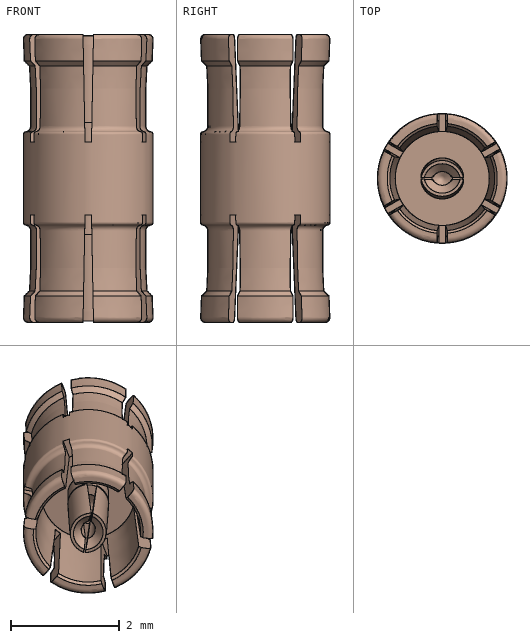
import cadquery as cq
import math

length = 5.33
top_z = length / 2

body_radius = 1.2
crown_radius = body_radius
crown_foot_radius = 1.185
crown_rounding = 0.095
crown_foot_depth = 0.49
neck_top_radius = 1.085
neck_top_depth = 0.585
neck_radius = 1.065
neck_bend_depth = 1.01
shoulder_start_depth = 1.7
shoulder_end_depth = 1.855
shoulder_hollow_share = 0.65

mouth_radius = 1.02
mouth_chamfer = 0.05
floor_radius = 0.87
floor_depth = 2.19

slot_count = 6
first_slot_angle = 30.0
slot_depth = 1.99
slot_foot_width = 0.12
slot_mouth_width = 0.1945

stem_radius = 0.38
pin_radius = 0.405
pin_top_depth = 0.035
pin_tip_length = 0.17
pin_tip_taper = 0.005
pin_foot_offset = pin_radius - stem_radius
pin_top_offset = 0.07
slit_foot_depth = 1.63
slit_foot_width = 0.18
slit_top_width = 0.025
pin_mouth_radius = 0.34
pin_bore_radius = 0.19
drill_tip_angle = 118.0

floor_z = top_z - floor_depth
pin_top_z = top_z - pin_top_depth
slit_foot_z = top_z - slit_foot_depth


def shell_ring():
    """Shell without slots: half an outline, mirrored to the lower end and revolved."""
    shoulder_start = (neck_radius, top_z - shoulder_start_depth)
    shoulder_end = (body_radius, top_z - shoulder_end_depth)
    shoulder_middle = tuple(
        start + shoulder_hollow_share * (end - start)
        for start, end in zip(shoulder_start, shoulder_end)
    )
    profile = (
        cq.Workplane("XZ")
        .moveTo(floor_radius, 0)
        .lineTo(floor_radius, top_z - slot_depth)
        .lineTo(mouth_radius - mouth_chamfer, top_z - mouth_chamfer)
        .lineTo(mouth_radius, top_z)
        .lineTo(crown_radius - crown_rounding, top_z)
        .radiusArc((crown_radius, top_z - crown_rounding), crown_rounding)
        .lineTo(crown_foot_radius, top_z - crown_foot_depth)
        .lineTo(neck_top_radius, top_z - neck_top_depth)
        .lineTo(neck_radius, top_z - neck_bend_depth)
        .lineTo(*shoulder_start)
        .tangentArcPoint(shoulder_middle, relative=False)
        .tangentArcPoint(shoulder_end, relative=False)
        .lineTo(body_radius, 0)
        .mirrorX()
    )
    return profile.revolve(360, (0, 0, 0), (0, 1, 0)).clean()


def finger_slot(angle):
    """Slot running outward from the axis, wider at the mouth than at the foot."""
    return (
        cq.Workplane("YZ")
        .moveTo(-slot_foot_width / 2, top_z - slot_depth)
        .lineTo(slot_foot_width / 2, top_z - slot_depth)
        .lineTo(slot_mouth_width / 2, top_z)
        .lineTo(-slot_mouth_width / 2, top_z)
        .close()
        .extrude(2 * body_radius)
        .rotate((0, 0, 0), (0, 0, 1), angle)
    )


def slotted_shell():
    shell = shell_ring()
    for index in range(slot_count):
        slot = finger_slot(first_slot_angle + index * 360 / slot_count)
        shell = shell.cut(slot).cut(slot.mirror("XY"))
    return shell


def pin_tube():
    """Tube with a slightly tapered tip and a conical mouth, open at both ends."""
    tip_foot_z = pin_top_z - pin_tip_length
    return (
        cq.Workplane("XZ")
        .moveTo(pin_bore_radius, floor_z)
        .lineTo(pin_radius, floor_z)
        .lineTo(pin_radius, tip_foot_z)
        .lineTo(pin_radius - pin_tip_taper, pin_top_z)
        .lineTo(pin_mouth_radius, pin_top_z)
        .lineTo(pin_bore_radius, tip_foot_z)
        .close()
        .revolve(360, (0, 0, 0), (0, 1, 0))
    )


def pin_half():
    """Half tube on the +Y side, leaning towards a slit that narrows upward."""
    lean = math.degrees(math.atan((pin_top_offset - pin_foot_offset) / (pin_top_z - slit_foot_z)))
    leaning_tube = (
        pin_tube()
        .rotate((0, 0, slit_foot_z), (1, 0, slit_foot_z), lean)
        .translate((0, -pin_foot_offset, 0))
    )
    outside_slit = (
        cq.Workplane("YZ")
        .moveTo(slit_foot_width / 2, slit_foot_z)
        .lineTo(2 * pin_radius, slit_foot_z)
        .lineTo(2 * pin_radius, top_z)
        .lineTo(slit_top_width / 2, top_z)
        .close()
        .extrude(2 * pin_radius, both=True)
    )
    return leaning_tube.intersect(outside_slit)


def pin_stem():
    """Solid stem whose top holds the conical end of the pin bore."""
    cone_height = pin_bore_radius / math.tan(math.radians(drill_tip_angle / 2))
    return (
        cq.Workplane("XZ")
        .moveTo(0, 0)
        .lineTo(stem_radius, 0)
        .lineTo(stem_radius, slit_foot_z)
        .lineTo(pin_bore_radius, slit_foot_z)
        .lineTo(0, slit_foot_z - cone_height)
        .close()
        .revolve(360, (0, 0, 0), (0, 1, 0))
    )


insulator = cq.Workplane("XY").circle(floor_radius).extrude(floor_z, both=True)
upper_pin = pin_stem().union(pin_half()).union(pin_half().mirror("XZ"))
result = (
    slotted_shell()
    .union(insulator)
    .union(upper_pin)
    .union(upper_pin.mirror("XY"))
)